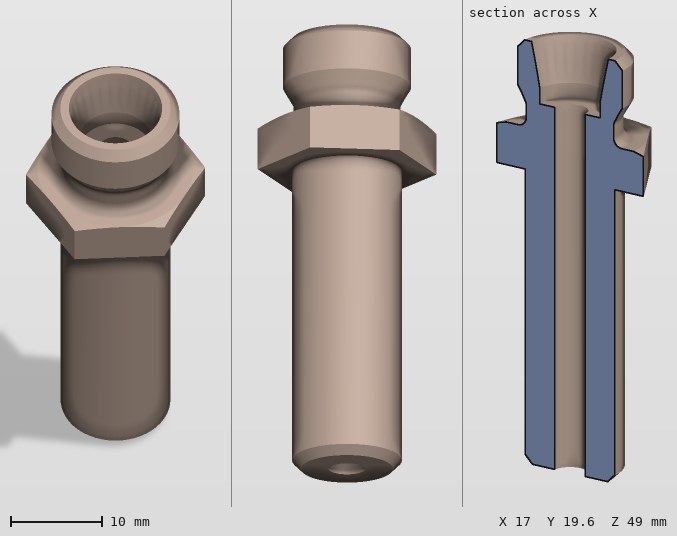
import cadquery as cq
import math

total_height = 49
hex_bottom = 34.0
hex_height = 5.0
hex_top = hex_bottom + hex_height

stem_radius = 12.0 / 2
stem_chamfer = 1.0

hex_flats = 17.0
hex_corners = hex_flats / math.cos(math.radians(30))
hex_chamfer_angle = 15
hex_chamfer_drop = (hex_corners - hex_flats) / 2 * math.tan(math.radians(hex_chamfer_angle))

head_radius = 14.0 / 2
head_chamfer = 1.0
head_bottom = total_height - 5.35
groove_radius = 11.7 / 2
groove_cone_angle = 30
groove_cone_height = (head_radius - groove_radius) / math.tan(math.radians(groove_cone_angle))
groove_cone_bottom = head_bottom - groove_cone_height
groove_blend_radius = 1.0
neck_fillet = 1.05

seat_mouth_radius = 10.2 / 2
socket_radius = 8.0 / 2
seat_angle = 12
seat_depth = (seat_mouth_radius - socket_radius) / math.tan(math.radians(seat_angle))
socket_depth = 7.0
through_radius = 4.0 / 2


def revolve_about_z(profile):
    """Close an (r, z) profile and turn it around the Z axis."""
    return profile.close().revolve(360, (0, 0, 0), (0, 1, 0))


def make_stem():
    stem = cq.Workplane("XY").circle(stem_radius).extrude(hex_bottom)
    return stem.faces("<Z").chamfer(stem_chamfer)


def make_collar():
    prism = (
        cq.Workplane("XY")
        .workplane(offset=hex_bottom)
        .polygon(6, hex_corners)
        .extrude(hex_height)
        .rotate((0, 0, 0), (0, 0, 1), 30)
    )
    turned_blank = revolve_about_z(
        cq.Workplane("XZ")
        .moveTo(0, hex_bottom)
        .lineTo(hex_corners / 2, hex_bottom)
        .lineTo(hex_corners / 2, hex_top - hex_chamfer_drop)
        .lineTo(hex_flats / 2, hex_top)
        .lineTo(0, hex_top)
    )
    return prism.intersect(turned_blank)


def make_head():
    half_turn = math.radians(groove_cone_angle / 2)
    tangent_length = groove_blend_radius * math.tan(half_turn)
    cone_angle = math.radians(groove_cone_angle)
    blend_bottom = groove_cone_bottom - tangent_length
    blend_center_r = groove_radius + groove_blend_radius
    blend_top_r = groove_radius + tangent_length * math.sin(cone_angle)
    blend_top = groove_cone_bottom + tangent_length * math.cos(cone_angle)
    blend_middle = (
        blend_center_r - groove_blend_radius * math.cos(half_turn),
        blend_bottom + groove_blend_radius * math.sin(half_turn),
    )

    fillet_middle_offset = neck_fillet * (1 - math.sqrt(0.5))
    fillet_middle = (groove_radius + fillet_middle_offset, hex_top + fillet_middle_offset)

    return revolve_about_z(
        cq.Workplane("XZ")
        .moveTo(0, hex_top)
        .lineTo(groove_radius + neck_fillet, hex_top)
        .threePointArc(fillet_middle, (groove_radius, hex_top + neck_fillet))
        .lineTo(groove_radius, blend_bottom)
        .threePointArc(blend_middle, (blend_top_r, blend_top))
        .lineTo(head_radius, head_bottom)
        .lineTo(head_radius, total_height - head_chamfer)
        .lineTo(head_radius - head_chamfer, total_height)
        .lineTo(0, total_height)
    )


def make_bore():
    return revolve_about_z(
        cq.Workplane("XZ")
        .lineTo(through_radius, 0)
        .lineTo(through_radius, total_height - socket_depth)
        .lineTo(socket_radius, total_height - socket_depth)
        .lineTo(socket_radius, total_height - seat_depth)
        .lineTo(seat_mouth_radius, total_height)
        .lineTo(0, total_height)
    )


result = make_stem().union(make_collar()).union(make_head()).cut(make_bore())